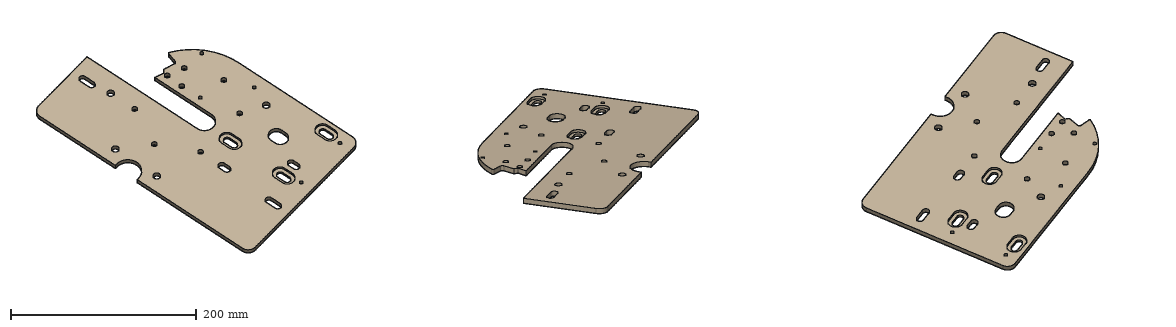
import cadquery as cq
import math

length = 300.0
width = 190.0
thickness = 6.0
corner_radius = 10.0

shoulder_radius = 80.0
shoulder_x = 132.5
shoulder_y = width - shoulder_radius

tip_y = 152.5
tip_x = shoulder_x - math.sqrt(shoulder_radius**2 - (tip_y - shoulder_y) ** 2)
bite_corner = (80.0, 148.0)
nick_top = (75.0, 132.3)
nick_root = (78.3, 128.7)
arm_end_x = 74.0
tip_fillet = 1.2
bite_fillet = 2.7
nick_fillet = 1.2

throat_bottom = 93.5
throat_top = 118.0
throat_end = 164.7
throat_radius = (throat_top - throat_bottom) / 2
throat_arc_x = throat_end - throat_radius

notch_x = 129.3
notch_radius = 15.0
notch_center_y = 2.7

small_diameter = 4.0
small_holes = [(93.5, 175.0), (166.2, 175.0), (284.7, 175.0), (284.7, 108.0), (notch_x, 127.8)]
medium_diameter = 6.0
medium_holes = [
    (134.5, 162.0), (91.2, 147.5), (175.5, 138.0), (83.0, 128.5),
    (104.0, 127.2), (83.5, 71.7), (174.5, 71.7), (notch_x, 48.5),
]
large_diameter = 8.0
large_holes = [(191.0, 164.5), (50.0, 71.7), (100.5, 17.0), (157.8, 17.0)]

end_slot = (20.5, 8.0)
end_slot_centers = [(20.7, 67.8), (278.5, 67.8)]
short_slot = (15.3, 8.5)
short_slot_centers = [(263.7, 121.2), (207.5, 71.7)]
window = (23.0, 17.7)
window_centers = [(227.5, 140.0)]
recessed_slot = (17.7, 8.0)
recess = (26.7, 16.5)
recess_depth = 3.0
recessed_slot_centers = [(264.3, 176.7), (264.3, 103.2), (190.8, 103.2)]


def make_plate():
    """Extrude the outline and round its corners."""
    arc_angle = (math.pi / 2 + math.atan2(tip_y - shoulder_y, tip_x - shoulder_x)) / 2
    arc_middle = (
        shoulder_x + shoulder_radius * math.cos(arc_angle),
        shoulder_y + shoulder_radius * math.sin(arc_angle),
    )
    plate = (
        cq.Workplane("XY")
        .moveTo(0, 0)
        .lineTo(length, 0)
        .lineTo(length, width)
        .lineTo(shoulder_x, width)
        .threePointArc(arc_middle, (tip_x, tip_y))
        .lineTo(*bite_corner)
        .lineTo(*nick_top)
        .lineTo(*nick_root)
        .lineTo(arm_end_x, throat_top)
        .lineTo(throat_arc_x, throat_top)
        .threePointArc((throat_end, throat_top - throat_radius), (throat_arc_x, throat_bottom))
        .lineTo(0, throat_bottom)
        .close()
        .extrude(thickness)
    )
    fillets = [
        ((0, 0), corner_radius),
        ((length, 0), corner_radius),
        ((length, width), corner_radius),
        ((tip_x, tip_y), tip_fillet),
        (bite_corner, bite_fillet),
        (nick_root, nick_fillet),
    ]
    for (x, y), radius in fillets:
        nearest = cq.selectors.NearestToPointSelector((x, y, thickness / 2))
        plate = plate.edges("|Z").edges(nearest).fillet(radius)
    return plate


def front_notch():
    """Cutter with a semicircular top and straight sides down to the front edge."""
    return (
        cq.Workplane("XY")
        .moveTo(notch_x - notch_radius, 0)
        .lineTo(notch_x - notch_radius, notch_center_y)
        .threePointArc(
            (notch_x, notch_center_y + notch_radius),
            (notch_x + notch_radius, notch_center_y),
        )
        .lineTo(notch_x + notch_radius, 0)
        .close()
        .extrude(thickness)
    )


def drill(plate, centers, diameter):
    holes = cq.Workplane("XY").pushPoints(centers).circle(diameter / 2).extrude(thickness)
    return plate.cut(holes)


def cut_slots(plate, centers, size, depth=thickness):
    """Cut round-ended slots down from the top face."""
    slots = (
        cq.Workplane("XY", origin=(0, 0, thickness))
        .pushPoints(centers)
        .slot2D(*size)
        .extrude(-depth)
    )
    return plate.cut(slots)


result = make_plate().cut(front_notch())

result = drill(result, small_holes, small_diameter)
result = drill(result, medium_holes, medium_diameter)
result = drill(result, large_holes, large_diameter)

result = cut_slots(result, end_slot_centers, end_slot)
result = cut_slots(result, short_slot_centers, short_slot)
result = cut_slots(result, window_centers, window)
result = cut_slots(result, recessed_slot_centers, recessed_slot)
result = cut_slots(result, recessed_slot_centers, recess, recess_depth)